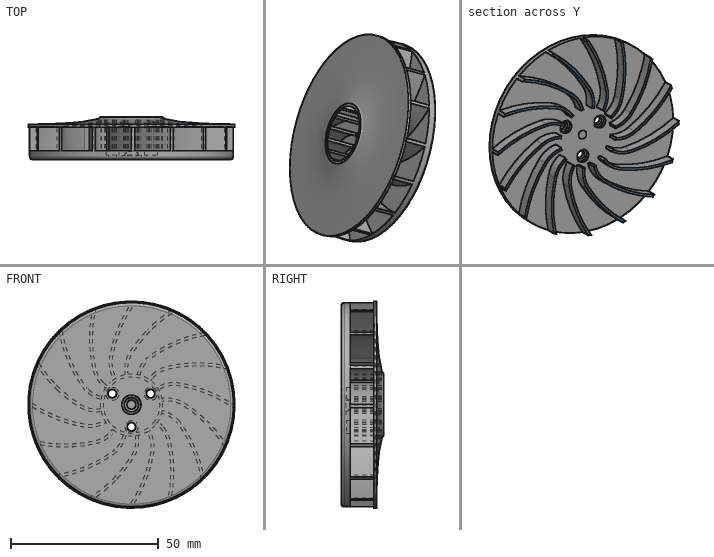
import cadquery as cq
import math

wheel_depth = 14.4
shroud_radius = 35
plate_radius = 34.5

plate_thickness = 3.0
plate_fillet = 1.0

shroud_thickness = 1.0
blade_height = 8.0
inlet_outer_radius = 10.5
rim_top = plate_thickness + blade_height + shroud_thickness
flare_run = shroud_radius - inlet_outer_radius
flare_rise = wheel_depth - rim_top

blade_count = 16
blade_thickness = 1.0
blade_inlet_radius = 10.5
blade_inlet_angle = -32
blade_bend_radius = 17.5
blade_bend_angle = -23.5
blade_tip_radius = shroud_radius
blade_tip_angle = 1.4

bolt_count = 3
bolt_circle_radius = 7.5
bolt_diameter = 2.8
bolt_head_diameter = 4.4
bolt_head_seat = 1.7
lowest_bolt_angle = 180

counterbore_diameter = 6.5
counterbore_depth = 1.5
taper_diameter = 4.9
taper_end_diameter = 3.0
bore_depth = 2.7


def polar(radius, angle, y=0):
    """Point on a circle about the wheel axis, at an angle from +Z toward +X."""
    turn = math.radians(angle)
    return cq.Vector(radius * math.sin(turn), y, radius * math.cos(turn))


def disc(diameter, start, end):
    """Cylinder about the wheel axis between two Y levels."""
    return cq.Workplane("XZ", origin=(0, start, 0)).circle(diameter / 2).extrude(start - end)


def revolve_about_axis(profile):
    """Close a (radius, Y) profile and revolve it about the wheel axis."""
    return profile.close().revolve(360, (0, 0, 0), (0, 1, 0))


def make_bell(inset):
    """Solid of revolution filling everything below the outer shroud surface moved inward by inset."""
    run = flare_run + inset
    rise = flare_rise + inset
    return revolve_about_axis(
        cq.Workplane("XY")
        .lineTo(shroud_radius, 0)
        .lineTo(shroud_radius, wheel_depth - rise)
        .ellipseArc(run, rise, 180, 270, sense=-1)
        .lineTo(0, wheel_depth)
    )


def make_back_plate():
    plate = disc(2 * plate_radius, 0, plate_thickness)
    return plate.faces("<Y").edges().fillet(plate_fillet)


def make_shroud():
    return make_bell(0).cut(make_bell(shroud_thickness))


def make_blades():
    inlet = polar(blade_inlet_radius, blade_inlet_angle, plate_thickness)
    bend = polar(blade_bend_radius, blade_bend_angle, plate_thickness)
    tip = polar(blade_tip_radius, blade_tip_angle, plate_thickness)
    inlet_direction = polar(1, blade_inlet_angle)

    inner_arc = cq.Edge.makeTangentArc(inlet, inlet_direction, bend)
    outer_arc = cq.Edge.makeTangentArc(bend, inner_arc.tangentAt(1), tip)
    path = cq.Workplane(obj=cq.Wire.assembleEdges([inner_arc, outer_arc]))

    height = wheel_depth - plate_thickness
    section_plane = cq.Plane(inlet, cq.Vector(0, 1, 0), inlet_direction)
    section = cq.Workplane(section_plane).center(height / 2, 0).rect(height, blade_thickness)
    blade = section.sweep(path).val()

    pitch = 360 / blade_count
    blades = [blade.rotate(cq.Vector(), cq.Vector(0, 1, 0), i * pitch) for i in range(blade_count)]
    envelope = make_bell(shroud_thickness / 2).intersect(disc(2 * plate_radius, 0, wheel_depth))
    return cq.Workplane(obj=cq.Compound.makeCompound(blades)).intersect(envelope)


def make_bolt_hole(angle):
    hole = disc(bolt_diameter, 0, plate_thickness)
    hole = hole.union(disc(bolt_head_diameter, bolt_head_seat, plate_thickness))
    return hole.translate(polar(bolt_circle_radius, angle))


def make_center_bore():
    return revolve_about_axis(
        cq.Workplane("XY")
        .lineTo(counterbore_diameter / 2, 0)
        .lineTo(counterbore_diameter / 2, counterbore_depth)
        .lineTo(taper_diameter / 2, counterbore_depth)
        .lineTo(taper_end_diameter / 2, bore_depth)
        .lineTo(0, bore_depth)
    )


result = make_back_plate().union(make_blades()).union(make_shroud())
result = result.cut(make_center_bore())
for i in range(bolt_count):
    result = result.cut(make_bolt_hole(lowest_bolt_angle + i * 360 / bolt_count))